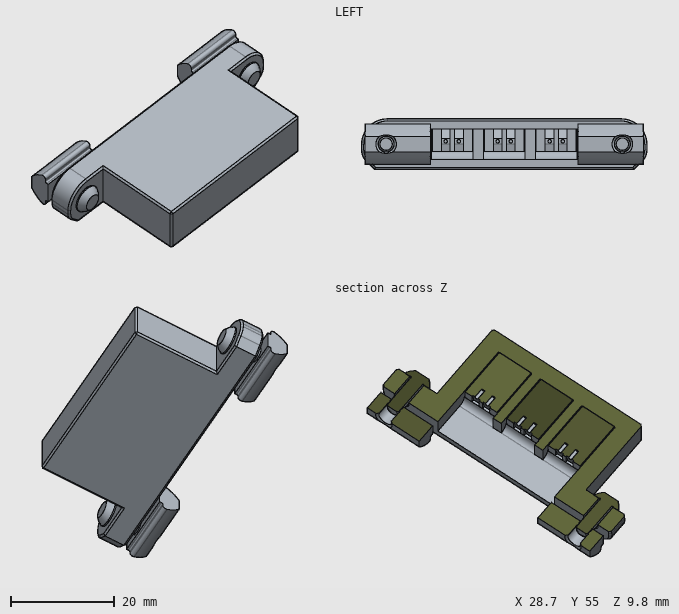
import cadquery as cq
import math


FLANGE_LENGTH = 55.0
FLANGE_THICKNESS = 5.0
HEIGHT = 9.8
TOP_CORNER_RADIUS = 5.0
END_FLAT_HEIGHT = 1.0
BOTTOM_CORNER_RADIUS = 3.0
FLANGE_FRONT_CHAMFER = 0.45
EDGE_CHAMFER = 0.4
BOX_WIDTH = 35.95
BOX_END_X = 23.05

POCKET_COUNT = 3
POCKET_WIDTH = 8.0
POCKET_PITCH = 10.0
CAVITY_WIDTH = (POCKET_COUNT - 1) * POCKET_PITCH + POCKET_WIDTH
CAVITY_HEIGHT = 5.85
CAVITY_DEPTH = 7.0
POCKET_FLOOR_RADIUS = 1.5

CONNECTOR_WIDTH = 7.7
CONNECTOR_HEIGHT = CAVITY_HEIGHT - POCKET_FLOOR_RADIUS
CONNECTOR_LENGTH = 11.0
CONNECTOR_FRONT_X = CAVITY_DEPTH + POCKET_FLOOR_RADIUS
CONTACT_COUNT = 2
CONTACT_PITCH = 2.55
CONTACT_SLOT_WIDTH = 1.7
CONTACT_NOSE_TOP = 1.05
CONTACT_NOSE_BOTTOM = 0.05
CONTACT_NOSE_RECESS = 0.3
CONTACT_TOP_SLOPE = 20.0
CONTACT_BOTTOM_SLOPE = 11.0
CONTACT_HOLE_DIAMETER = 0.65
CONTACT_HOLE_DEPTH = 2.2

SCREW_SPACING = 45.5
SCREW_DIAMETER = 3.0
SCREW_LENGTH = 8.0
SCREW_TIP_CHAMFER = 0.35
SCREW_CLEARANCE_DIAMETER = 3.5
HEAD_DIAMETER = 5.7
HEAD_TOP_DIAMETER = 3.4
HEAD_HEIGHT = 1.65
HEAD_RIM_HEIGHT = 0.3
HEAD_DOME_BULGE = 0.1

NUT_BACK_X = -5.65
NUT_THICKNESS = 4.4
NUT_LENGTH = 12.55
NUT_CENTRE_Y = 20.5
NUT_HEIGHT = 7.8
NUT_BACK_HEIGHT = 2.95
NUT_NECK_HEIGHT = 4.85
NUT_NECK_LENGTH = 0.7
NUT_EDGE_RADIUS = 0.65
NUT_EDGE_ARC = 116.0
NUT_NECK_FILLET = 0.35
NUT_HOLE_DIAMETER = 3.1
NUT_COUNTERSINK_DIAMETER = 3.95

SIDES = (-1, 1)
CAVITY_TOP_Z = CAVITY_HEIGHT / 2
CAVITY_FLOOR_Z = -CAVITY_HEIGHT / 2
CONNECTOR_BOTTOM_Z = CAVITY_FLOOR_Z + POCKET_FLOOR_RADIUS
POCKET_CENTRES = [(i - (POCKET_COUNT - 1) / 2) * POCKET_PITCH for i in range(POCKET_COUNT)]


def block(x_start, x_end, y_centre, width, z_bottom, z_top):
    """Rectangular block between two X planes and two Z planes."""
    return cq.Workplane().box(
        x_end - x_start, width, z_top - z_bottom, centered=(False, True, False)
    ).translate((x_start, y_centre, z_bottom))


def x_cylinder(x_start, x_end, y, diameter):
    """Cylinder along X at height zero."""
    return (
        cq.Workplane("YZ", origin=(x_start, y, 0))
        .circle(diameter / 2)
        .extrude(x_end - x_start)
    )



def flange():
    """Plate with large round top corners and bottom corners rounded into 45 degree flats."""
    half_length = FLANGE_LENGTH / 2
    top = HEIGHT / 2
    diagonal = math.sqrt(0.5)
    top_centre_y = half_length - TOP_CORNER_RADIUS
    flat_top = top - TOP_CORNER_RADIUS
    flat_bottom = flat_top - END_FLAT_HEIGHT
    arc_end_y = half_length - BOTTOM_CORNER_RADIUS * (1 - diagonal)
    arc_end_z = flat_bottom - BOTTOM_CORNER_RADIUS * diagonal
    bottom_end_y = arc_end_y - (arc_end_z + top)

    half = (
        cq.Workplane("YZ")
        .moveTo(0, top)
        .lineTo(top_centre_y, top)
        .tangentArcPoint((half_length, flat_top), relative=False)
        .lineTo(half_length, flat_bottom)
        .tangentArcPoint((arc_end_y, arc_end_z), relative=False)
        .lineTo(bottom_end_y, -top)
        .lineTo(0, -top)
        .close()
        .extrude(FLANGE_THICKNESS)
    )
    plate = half.union(half.mirror("XZ")).clean()
    return (
        plate.faces("<X").chamfer(FLANGE_FRONT_CHAMFER)
        .faces(">X").chamfer(EDGE_CHAMFER)
    )


def box_body():
    """Box behind the flange, starting inside it so that the two join."""
    start_x = FLANGE_THICKNESS / 2
    body = block(start_x, BOX_END_X, 0, BOX_WIDTH, -HEIGHT / 2, HEIGHT / 2)
    return body.edges("|X or >X").chamfer(EDGE_CHAMFER)


def connector_pocket(y):
    """Pocket, cut from the flange's front, with a floor that curves up to the connector's seat."""
    entry = block(0, CONNECTOR_FRONT_X, y, POCKET_WIDTH, CAVITY_FLOOR_Z, CAVITY_TOP_Z)
    entry = entry.edges(">X and <Z").fillet(POCKET_FLOOR_RADIUS)
    seat_end = CONNECTOR_FRONT_X + CONNECTOR_LENGTH
    seat = block(CONNECTOR_FRONT_X, seat_end, y, POCKET_WIDTH, CONNECTOR_BOTTOM_Z, CAVITY_TOP_Z)
    return entry.union(seat)


def make_housing():
    housing = flange().union(box_body())
    housing = housing.cut(block(0, CAVITY_DEPTH, 0, CAVITY_WIDTH, CAVITY_FLOOR_Z, CAVITY_TOP_Z))
    for y in POCKET_CENTRES:
        housing = housing.cut(connector_pocket(y))
    for side in SIDES:
        screw_y = side * SCREW_SPACING / 2
        housing = housing.cut(x_cylinder(0, FLANGE_THICKNESS, screw_y, SCREW_CLEARANCE_DIAMETER))
    return housing



def contact_slot(y):
    """Slot whose end wall comes forward to a flat nose, with a contact hole in the nose."""
    nose_x = CONNECTOR_FRONT_X + CONTACT_NOSE_RECESS
    top_drop = (CAVITY_TOP_Z - CONTACT_NOSE_TOP) * math.tan(math.radians(CONTACT_TOP_SLOPE))
    bottom_drop = (CONTACT_NOSE_BOTTOM - CONNECTOR_BOTTOM_Z) * math.tan(
        math.radians(CONTACT_BOTTOM_SLOPE)
    )
    slot = (
        cq.Workplane("XZ", origin=(0, y, 0))
        .moveTo(CONNECTOR_FRONT_X, CAVITY_TOP_Z)
        .lineTo(nose_x + top_drop, CAVITY_TOP_Z)
        .lineTo(nose_x, CONTACT_NOSE_TOP)
        .lineTo(nose_x, CONTACT_NOSE_BOTTOM)
        .lineTo(nose_x + bottom_drop, CONNECTOR_BOTTOM_Z)
        .lineTo(CONNECTOR_FRONT_X, CONNECTOR_BOTTOM_Z)
        .close()
        .extrude(CONTACT_SLOT_WIDTH / 2, both=True)
    )
    hole_z = (CONTACT_NOSE_TOP + CONTACT_NOSE_BOTTOM) / 2
    hole = x_cylinder(nose_x, nose_x + CONTACT_HOLE_DEPTH, y, CONTACT_HOLE_DIAMETER)
    return slot.union(hole.translate((0, 0, hole_z)))


def make_connector(y):
    connector = block(
        CONNECTOR_FRONT_X,
        CONNECTOR_FRONT_X + CONNECTOR_LENGTH,
        y,
        CONNECTOR_WIDTH,
        CONNECTOR_BOTTOM_Z,
        CONNECTOR_BOTTOM_Z + CONNECTOR_HEIGHT,
    )
    for i in range(CONTACT_COUNT):
        offset = (i - (CONTACT_COUNT - 1) / 2) * CONTACT_PITCH
        connector = connector.cut(contact_slot(y + offset))
    return connector



def make_screw(side):
    """Button-head screw seated on the flange's rear face, pointing toward -X."""
    tip_x = FLANGE_THICKNESS - SCREW_LENGTH
    rim_x = FLANGE_THICKNESS + HEAD_RIM_HEIGHT
    top_x = FLANGE_THICKNESS + HEAD_HEIGHT
    radius = SCREW_DIAMETER / 2
    head_radius = HEAD_DIAMETER / 2
    profile = (
        cq.Workplane("XY")
        .moveTo(tip_x, 0)
        .lineTo(tip_x, radius - SCREW_TIP_CHAMFER)
        .lineTo(tip_x + SCREW_TIP_CHAMFER, radius)
        .lineTo(FLANGE_THICKNESS, radius)
        .lineTo(FLANGE_THICKNESS, head_radius)
        .lineTo(rim_x, head_radius)
        .sagittaArc((top_x, HEAD_TOP_DIAMETER / 2), HEAD_DOME_BULGE)
        .lineTo(top_x, 0)
        .close()
    )
    screw = profile.revolve(360, (0, 0, 0), (1, 0, 0))
    return screw.translate((0, side * SCREW_SPACING / 2, 0))



def nut_bar():
    """Bar along Y with curved flanks, rounded edges and a narrower neck."""
    front_x = NUT_BACK_X + NUT_THICKNESS
    shoulder_x = front_x - NUT_NECK_LENGTH
    edge_x = shoulder_x - NUT_EDGE_RADIUS
    edge_z = NUT_HEIGHT / 2 - NUT_EDGE_RADIUS
    edge_angle = math.radians(NUT_EDGE_ARC)
    flank_start = (
        edge_x + NUT_EDGE_RADIUS * math.cos(edge_angle),
        edge_z + NUT_EDGE_RADIUS * math.sin(edge_angle),
    )
    neck_z = NUT_NECK_HEIGHT / 2
    half = (
        cq.Workplane("XZ", origin=(0, NUT_LENGTH / 2, 0))
        .moveTo(NUT_BACK_X, 0)
        .lineTo(front_x, 0)
        .lineTo(front_x, neck_z)
        .lineTo(shoulder_x + NUT_NECK_FILLET, neck_z)
        .tangentArcPoint((shoulder_x, neck_z + NUT_NECK_FILLET), relative=False)
        .lineTo(shoulder_x, edge_z)
        .tangentArcPoint(flank_start, relative=False)
        .tangentArcPoint((NUT_BACK_X, NUT_BACK_HEIGHT / 2), relative=False)
        .close()
        .extrude(NUT_LENGTH)
    )
    return half.union(half.mirror("XY")).clean()


def make_nut(side):
    """Slot nut with a through hole countersunk at the back, in line with its screw."""
    hole_y = side * SCREW_SPACING / 2
    nut = nut_bar().translate((0, side * NUT_CENTRE_Y, 0))
    hole = x_cylinder(NUT_BACK_X, NUT_BACK_X + NUT_THICKNESS, hole_y, NUT_HOLE_DIAMETER)
    countersink = cq.Solid.makeCone(
        NUT_COUNTERSINK_DIAMETER / 2,
        0,
        NUT_COUNTERSINK_DIAMETER / 2,
        pnt=cq.Vector(NUT_BACK_X, hole_y, 0),
        dir=cq.Vector(1, 0, 0),
    )
    return nut.cut(hole).cut(cq.Workplane(countersink))



housing = make_housing()
connectors = [make_connector(y) for y in POCKET_CENTRES]
screws = [make_screw(side) for side in SIDES]
nuts = [make_nut(side) for side in SIDES]

result = cq.Compound.makeCompound(
    [body.val() for body in [housing, *connectors, *screws, *nuts]]
)